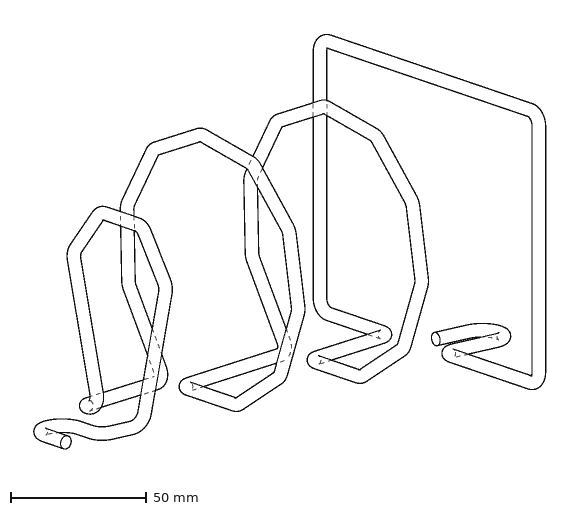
import cadquery as cq
import math


WIDTH = 133.0
LENGTH = 221.7
HEIGHT = 110.0

WIRE_DIAMETER = 5.0
WIRE_RADIUS = WIRE_DIAMETER / 2
BEND_RADIUS = WIRE_DIAMETER
TIGHT_BEND_RADIUS = 2.7

FRAME_HALF_WIDTH = (WIDTH - WIRE_DIAMETER) / 2
FRAME_HEIGHT = HEIGHT - WIRE_DIAMETER
FRAME_EXIT_X = -23.5

REAR_RING_Y = -44.1
FRONT_RING_Y = -103.0
ARCH_Y = -147.2
RING_CORNERS = [
    (13.7, 0),
    (38.8, 16.6),
    (49.7, 44.5),
    (44.1, 74.0),
    (22.8, 95.0),
    (-7.3, 99.5),
    (-35.0, 87.5),
    (-50.5, 62.5),
    (-49.7, 32.4),
    (-28.8, 0),
]
ARCH_CORNERS = [
    (-12.6, 0),
    (-28.2, 57.5),
    (-12.0, 76.7),
    (12.2, 76.7),
    (26.4, 56.3),
    (12.5, 0),
]

REAR_RING_ENTRY_X = -16.0
FRONT_RING_ENTRY_X = -18.6
ARCH_ENTRY_X = -21.7

HOOK_RADIUS = 8.0
BACK_HOOK_CREST_Y = 33.3
BACK_HOOK_TIP_Y = 9.5
FRONT_HOOK_CREST_Y = BACK_HOOK_CREST_Y - (LENGTH - WIRE_DIAMETER)
FRONT_HOOK_ROOT_Y = FRONT_HOOK_CREST_Y + 2 * HOOK_RADIUS
FRONT_HOOK_TIP_X = 12.0

MIN_STRAIGHT = 0.002


def bend(x, y, z=0, radius=BEND_RADIUS):
    """A corner of the wire centreline and the radius that rounds it."""
    return cq.Vector(x, y, z), radius


def back_hook():
    """From the free tip round the half circle, whose arc is two quarter bends."""
    return [
        bend(-HOOK_RADIUS, BACK_HOOK_TIP_Y),
        bend(-HOOK_RADIUS, BACK_HOOK_CREST_Y, radius=HOOK_RADIUS),
        bend(HOOK_RADIUS, BACK_HOOK_CREST_Y, radius=HOOK_RADIUS),
    ]


def back_frame():
    """The upright rectangle, open at the bottom between the hook and the rings."""
    return [
        bend(HOOK_RADIUS, 0),
        bend(FRAME_HALF_WIDTH, 0),
        bend(FRAME_HALF_WIDTH, 0, FRAME_HEIGHT),
        bend(-FRAME_HALF_WIDTH, 0, FRAME_HEIGHT),
        bend(-FRAME_HALF_WIDTH, 0),
        bend(FRAME_EXIT_X, 0),
    ]


def upright_loop(y, entry_x, corners, entry_radius=BEND_RADIUS):
    """A loop standing in the plane at y, entered along the base at entry_x."""
    return [bend(entry_x, y, radius=entry_radius)] + [bend(x, y, z) for x, z in corners]


def front_hook():
    """Forward from the right foot of the arch, then round a half circle to the tip."""
    stem_x = ARCH_CORNERS[-1][0]
    return [
        bend(stem_x, FRONT_HOOK_ROOT_Y),
        bend(-HOOK_RADIUS, FRONT_HOOK_ROOT_Y, radius=HOOK_RADIUS),
        bend(-HOOK_RADIUS, FRONT_HOOK_CREST_Y, radius=HOOK_RADIUS),
        bend(FRONT_HOOK_TIP_X, FRONT_HOOK_CREST_Y),
    ]


def rounded_path(bends):
    """Join the corners with straights and replace each inner corner by a tangent arc."""
    edges = []
    position = bends[0][0]
    for (before, _), (corner, radius), (after, _) in zip(bends, bends[1:], bends[2:]):
        back = (before - corner).normalized()
        ahead = (after - corner).normalized()
        half_angle = back.getAngle(ahead) / 2
        setback = radius / math.tan(half_angle)
        centre_distance = radius / math.sin(half_angle)
        arc_start = corner + back * setback
        arc_middle = corner + (back + ahead).normalized() * (centre_distance - radius)
        arc_end = corner + ahead * setback
        if (arc_start - position).Length > MIN_STRAIGHT:
            edges.append(cq.Edge.makeLine(position, arc_start))
        edges.append(cq.Edge.makeThreePointArc(arc_start, arc_middle, arc_end))
        position = arc_end
    edges.append(cq.Edge.makeLine(position, bends[-1][0]))
    return cq.Wire.assembleEdges(edges)


wire_bends = (
    back_hook()
    + back_frame()
    + upright_loop(REAR_RING_Y, REAR_RING_ENTRY_X, RING_CORNERS)
    + upright_loop(FRONT_RING_Y, FRONT_RING_ENTRY_X, RING_CORNERS)
    + upright_loop(ARCH_Y, ARCH_ENTRY_X, ARCH_CORNERS, TIGHT_BEND_RADIUS)
    + front_hook()
)

tip = wire_bends[0][0]
section = cq.Workplane(cq.Plane(origin=tip, xDir=(1, 0, 0), normal=(0, 1, 0))).circle(WIRE_RADIUS)
result = section.sweep(cq.Workplane(obj=rounded_path(wire_bends)))